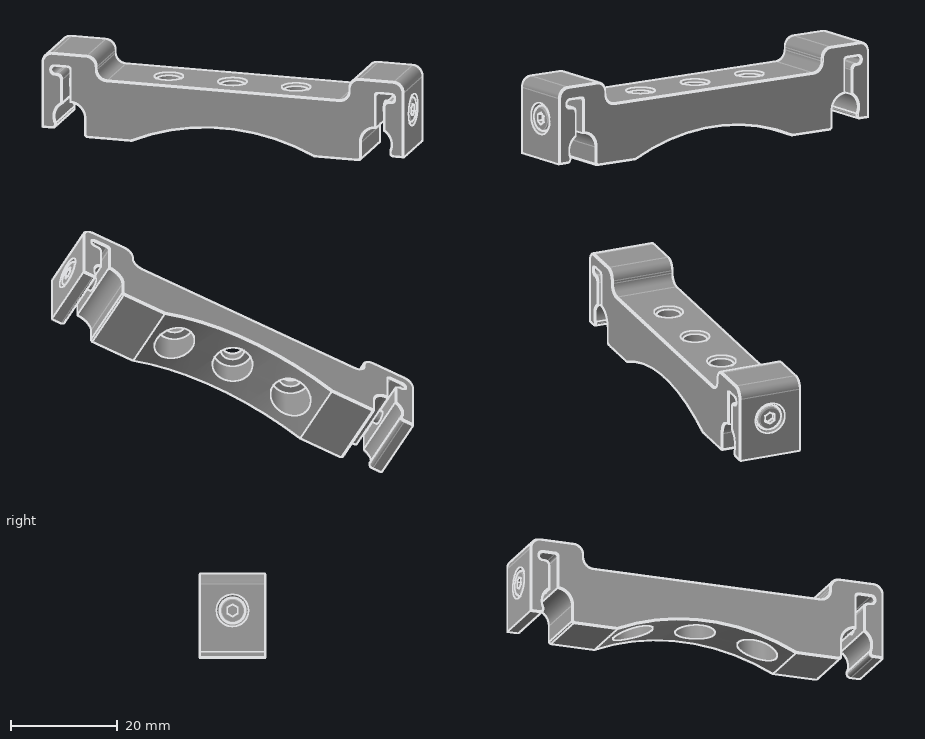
import cadquery as cq
import math

length = 71.0
depth = 12.5
height = 16.0
half_length = length / 2
edge_chamfer = 0.2

block_width = 10.7
block_round = 2.0
deck_drop = 4.5
deck_z = height - deck_drop

arch_half_span = 17.95
arch_rise = 4.0
foot_bevel = 0.35

rod_radius = 3.0
rod_from_end = 5.4
rod_z = 3.6

arm_thickness = 3.9
arm_bottom_z = 1.3
arm_round = 1.0
toe_thickness = 2.7
toe_round = 0.7
slot_wall_from_end = 5.5
slot_top_z = 13.4
slot_corner_round = 0.5
relief_height = 1.5
relief_from_end = 1.8

deck_hole_count = 3
deck_hole_pitch = 12.5
deck_hole_diameter = 4.5
deck_hole_mouth = 5.5
deck_bore_diameter = 7.5
deck_bore_ceiling_depth = 2.55

screw_z = 9.0
shank_diameter = 2.55
shank_tip_from_end = 10.65
head_diameter = 4.7
head_height = 2.5
head_recess = 0.1
head_round = 0.2
socket_sides = 6
socket_flats = 2.0
socket_depth = 1.1
head_bore_diameter = 5.0
head_bore_mouth = 6.0


def rod_groove_rise(x_offset):
    """Height of the rod groove's circle above its centre, at a sideways distance from the centre."""
    return math.sqrt(rod_radius**2 - x_offset**2)


def half_profile():
    """Left half of the bar's outline in the XZ plane, closed along X = 0."""
    outer = -half_length
    block_side = outer + block_width
    slot_wall = outer + slot_wall_from_end
    arm_wall = outer + arm_thickness
    toe_wall = outer + toe_thickness
    rod_x = outer + rod_from_end
    foot_x = rod_x + rod_radius

    relief_radius = relief_height / 2
    relief_end = outer + relief_from_end
    relief_bottom_z = slot_top_z - relief_height
    slot_mouth_z = rod_z + rod_groove_rise(slot_wall - rod_x)
    arm_mouth_z = rod_z + rod_groove_rise(rod_x - arm_wall)
    toe_z = rod_z - rod_groove_rise(rod_x - toe_wall)
    groove_diagonal = rod_radius * math.cos(math.pi / 4)
    arch_radius = (arch_half_span**2 + arch_rise**2) / (2 * arch_rise)

    return (
        cq.Workplane("XZ")
        .moveTo(0, deck_z)
        .lineTo(block_side + block_round, deck_z)
        .radiusArc((block_side, deck_z + block_round), block_round)
        .lineTo(block_side, height - block_round)
        .radiusArc((block_side - block_round, height), -block_round)
        .lineTo(outer + block_round, height)
        .radiusArc((outer, height - block_round), -block_round)
        .lineTo(outer, arm_bottom_z)
        .lineTo(toe_wall - toe_round, arm_bottom_z)
        .radiusArc((toe_wall, arm_bottom_z + toe_round), -toe_round)
        .lineTo(toe_wall, toe_z)
        .threePointArc((rod_x - rod_radius, rod_z), (arm_wall, arm_mouth_z))
        .lineTo(arm_wall, relief_bottom_z - arm_round)
        .radiusArc((arm_wall - arm_round, relief_bottom_z), -arm_round)
        .lineTo(relief_end + relief_radius, relief_bottom_z)
        .threePointArc(
            (relief_end, slot_top_z - relief_radius),
            (relief_end + relief_radius, slot_top_z),
        )
        .lineTo(slot_wall - slot_corner_round, slot_top_z)
        .radiusArc((slot_wall, slot_top_z - slot_corner_round), slot_corner_round)
        .lineTo(slot_wall, slot_mouth_z)
        .threePointArc(
            (rod_x + groove_diagonal, rod_z + groove_diagonal),
            (foot_x, rod_z),
        )
        .lineTo(foot_x, foot_bevel)
        .lineTo(foot_x + foot_bevel, 0)
        .lineTo(-arch_half_span, 0)
        .radiusArc((0, arch_rise), arch_radius)
        .close()
    )


def bar_blank():
    """Both halves of the bar, bevelled around the +Y and -Y faces except on the upright end edges."""
    half = half_profile().extrude(depth / 2, both=True)
    blank = half.union(half.mirror("YZ")).clean()
    sharp_edges = blank.faces("<X or >X").edges("|Z").vals()
    rim = [
        edge
        for edge in blank.faces("<Y or >Y").edges().vals()
        if not any(edge.isSame(sharp) for sharp in sharp_edges)
    ]
    return blank.newObject(rim).chamfer(edge_chamfer)


def deck_holes():
    """Through holes, countersunk at 45 degrees in the deck and counterbored from the arch."""
    span = deck_hole_pitch * (deck_hole_count - 1)
    sink = (deck_hole_mouth - deck_hole_diameter) / 2
    bore_top_z = deck_z - deck_bore_ceiling_depth
    holes = cq.Workplane("XY")
    for i in range(deck_hole_count):
        x = i * deck_hole_pitch - span / 2
        hole = (
            cq.Workplane("XZ", origin=(x, 0, 0))
            .lineTo(deck_bore_diameter / 2, 0)
            .lineTo(deck_bore_diameter / 2, bore_top_z)
            .lineTo(deck_hole_diameter / 2, bore_top_z)
            .lineTo(deck_hole_diameter / 2, deck_z - sink)
            .lineTo(deck_hole_mouth / 2, deck_z)
            .lineTo(0, deck_z)
            .close()
            .revolve(360, (0, 0), (0, 1))
        )
        holes = holes.add(hole)
    return holes.combine()


def on_left_end():
    """Workplane on the left end face, centred on the screw and facing into the bar."""
    return cq.Workplane("YZ", origin=(-half_length, 0, screw_z))


def screw_hole():
    """Counterbored hole for the left screw, countersunk at the end face."""
    sink = (head_bore_mouth - head_bore_diameter) / 2
    seat = head_recess + head_height
    bore = on_left_end().circle(head_bore_diameter / 2).extrude(seat)
    mouth = on_left_end().circle(head_bore_mouth / 2).extrude(sink, taper=45)
    shank = on_left_end().circle(shank_diameter / 2).extrude(shank_tip_from_end)
    return bore.union(mouth).union(shank)


def left_screw():
    """Cap screw with a hexagon socket, two of its corners pointing up and down."""
    head_plane = on_left_end().workplane(offset=head_recess)
    head = head_plane.circle(head_diameter / 2).extrude(head_height)
    head = head.faces("<X").edges().fillet(head_round)
    shank = head_plane.circle(shank_diameter / 2).extrude(shank_tip_from_end - head_recess)
    socket_corners = socket_flats / math.cos(math.pi / socket_sides)
    socket = (
        head_plane.transformed(rotate=(0, 0, 90))
        .polygon(socket_sides, socket_corners)
        .extrude(socket_depth)
    )
    return head.union(shank).cut(socket)


bar = bar_blank().cut(deck_holes())
screws = []
for is_right_end in (False, True):
    hole = screw_hole()
    screw = left_screw()
    if is_right_end:
        hole = hole.mirror("YZ")
        screw = screw.mirror("YZ")
    bar = bar.cut(hole)
    screws.append(screw.val())

result = cq.Compound.makeCompound([bar.val(), *screws])